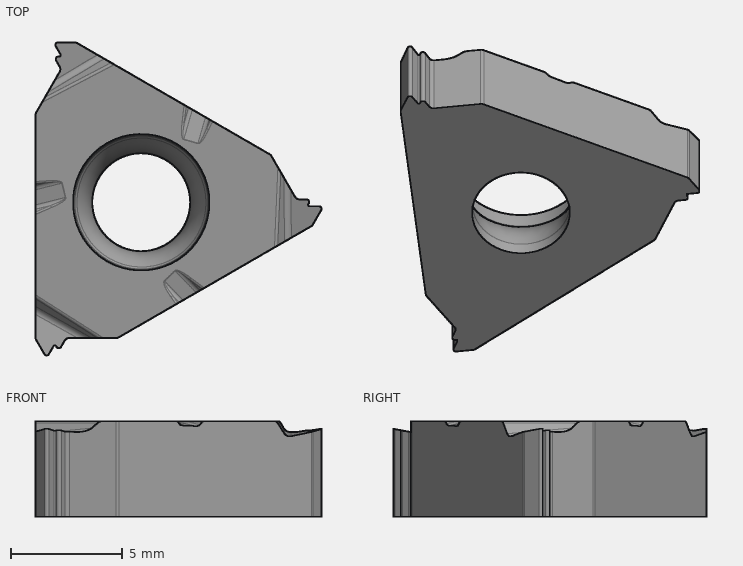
import cadquery as cq
import math

thickness = 4.31
inscribed_radius = 4.77
corner_count = 3
corner_angle = 360 / corner_count

flank_slope = math.tan(math.radians(60))
tip_x = -4.26
tip_y = -7.02
tip_radius = 0.12
valley_height = 0.63
valley_radius = 0.05
side_tooth_height = 0.32
side_tooth_radius = 0.13
shoulder_y = -6.12
shoulder_radius = 0.23
shoulder_end_radius = 0.28
flank_top_radius = 0.21

bore_radius = 4.4 / 2
seat_rim_radius = 3.07
seat_wall_bottom_radius = 3.0
seat_wall_depth = 0.97
flare_top_radius = 2.9
flare_radius = 4.37
flare_bottom_depth = 3.58

groove_corner_x = 6.53
groove_depth = 0.58
groove_wall_angle = 58
groove_floor_angle = 9
groove_pitch = 5
groove_yaw = 0.7
groove_root_radius = 0.31
groove_rim_radius = 0.17

notch_depth = 1.5
notch_run = 9.1
notch_end_x = -3.5
notch_end_y = 0.55
notch_floor_width = 0.66
notch_yaw = 14
notch_wall_angle = 45
notch_root_radius = 0.27
notch_rim_radius = 0.14

cutter_reach = 2.82


def turned(x, y, angle):
    """Point (x, y) turned about the origin by an angle in degrees."""
    cosine = math.cos(math.radians(angle))
    sine = math.sin(math.radians(angle))
    return x * cosine - y * sine, x * sine + y * cosine


def rounded_outline(corners):
    """Closed wire through (x, y, radius) corners, each rounded with a tangent arc."""
    rounds = []
    for i, (x, y, radius) in enumerate(corners):
        corner = cq.Vector(x, y)
        back = (cq.Vector(*corners[i - 1][:2]) - corner).normalized()
        ahead = (cq.Vector(*corners[(i + 1) % len(corners)][:2]) - corner).normalized()
        half_angle = back.getAngle(ahead) / 2
        tangent_length = radius / math.tan(half_angle)
        middle_distance = radius / math.sin(half_angle) - radius
        rounds.append((
            corner + back * tangent_length,
            corner + (back + ahead).normalized() * middle_distance,
            corner + ahead * tangent_length,
        ))
    outline = cq.Workplane("XY").moveTo(*rounds[-1][2].toTuple()[:2])
    for start, middle, end in rounds:
        outline = outline.lineTo(start.x, start.y)
        outline = outline.threePointArc((middle.x, middle.y), (end.x, end.y))
    return outline.close()


def tooth_corners():
    """Sharp corners and radii from the left-hand side, over the tooth, to the next side."""
    left_flank_top = tip_y + (tip_x + inscribed_radius) * flank_slope
    valley_x = tip_x + valley_height / flank_slope
    side_tooth_x = valley_x + (valley_height - side_tooth_height) / flank_slope
    side_tooth_y = tip_y + side_tooth_height
    shoulder_x = side_tooth_x + (shoulder_y - side_tooth_y) / flank_slope
    shoulder_end_x = 2 * inscribed_radius + shoulder_y * flank_slope
    return [
        (-inscribed_radius, left_flank_top, flank_top_radius),
        (tip_x, tip_y, tip_radius),
        (valley_x, tip_y + valley_height, valley_radius),
        (side_tooth_x, side_tooth_y, side_tooth_radius),
        (shoulder_x, shoulder_y, shoulder_radius),
        (shoulder_end_x, shoulder_y, shoulder_end_radius),
    ]


def insert_blank():
    corners = []
    for k in range(corner_count):
        for x, y, radius in tooth_corners():
            corners.append((*turned(x, y, k * corner_angle), radius))
    return rounded_outline(corners).extrude(thickness)


def screw_hole():
    """Steep conical seat wall, concave round, then a convex flare tangent to the bore."""
    flare_center_r = bore_radius + flare_radius
    flare_angle = math.acos((flare_center_r - flare_top_radius) / flare_radius)
    flare_bottom = thickness - flare_bottom_depth

    def on_flare(angle):
        r = flare_center_r - flare_radius * math.cos(angle)
        return r, flare_bottom + flare_radius * math.sin(angle)

    return (
        cq.Workplane("XZ")
        .moveTo(0, thickness)
        .lineTo(seat_rim_radius, thickness)
        .lineTo(seat_wall_bottom_radius, thickness - seat_wall_depth)
        .tangentArcPoint(on_flare(flare_angle), relative=False)
        .threePointArc(on_flare(flare_angle / 2), on_flare(0))
        .lineTo(bore_radius, 0)
        .lineTo(0, 0)
        .close()
        .revolve(360, (0, 0, 0), (0, 1, 0))
    )


def chip_groove():
    """V-shaped cutter along Y, sinking towards -Y, with a steep inner wall and a rising floor."""
    length = 2 * cutter_reach
    along = cq.Vector(
        math.tan(math.radians(groove_yaw)), -1, -math.tan(math.radians(groove_pitch))
    )
    across = cq.Vector(0, 1, 0).cross(cq.Vector(0, 0, 1))
    root = cq.Vector(groove_corner_x, 0, thickness - groove_depth)
    plane = cq.Plane(origin=root - along.normalized() * (length / 2), xDir=across, normal=along)
    wall_x = -cutter_reach / math.tan(math.radians(groove_wall_angle))
    floor_y = cutter_reach * math.tan(math.radians(groove_floor_angle))
    cutter = (
        cq.Workplane(plane)
        .polyline([(0, 0), (cutter_reach, floor_y), (cutter_reach, cutter_reach), (wall_x, cutter_reach)])
        .close()
        .extrude(length)
    )
    root_edge = cq.selectors.NearestToPointSelector(root.toTuple())
    return cutter.edges(root_edge).fillet(groove_root_radius)


def edge_notch():
    """Trapezoidal cutter whose floor sinks from the top face towards the left-hand side."""
    outward = cq.Vector(*turned(-1, 0, notch_yaw), -notch_depth / notch_run)
    across = cq.Vector(0, 0, 1).cross(outward)
    floor_end = cq.Vector(notch_end_x, notch_end_y, thickness)
    plane = cq.Plane(
        origin=floor_end - outward.normalized() * cutter_reach, xDir=across, normal=outward
    )
    half_floor = notch_floor_width / 2 + notch_root_radius * math.tan(math.radians(notch_wall_angle / 2))
    half_top = half_floor + cutter_reach / math.tan(math.radians(notch_wall_angle))
    cutter = (
        cq.Workplane(plane)
        .polyline([(-half_floor, 0), (half_floor, 0), (half_top, cutter_reach), (-half_top, cutter_reach)])
        .close()
        .extrude(2 * cutter_reach)
    )
    for side in (-half_floor, half_floor):
        root_edge = cq.selectors.NearestToPointSelector(plane.toWorldCoords((side, 0, cutter_reach)))
        cutter = cutter.edges(root_edge).fillet(notch_root_radius)
    return cutter


def cut_with_rounded_rim(body, cutter, rim_x, rim_y, rim_radius):
    """Cut at every corner, rounding the rim that passes nearest to (rim_x, rim_y) on the top face."""
    for k in range(corner_count):
        angle = k * corner_angle
        body = body.cut(cutter.rotate((0, 0, 0), (0, 0, 1), angle))
        rim_point = (*turned(rim_x, rim_y, angle), thickness)
        body = body.edges(cq.selectors.NearestToPointSelector(rim_point)).fillet(rim_radius)
    return body


groove_rim_x = groove_corner_x - groove_depth / math.tan(math.radians(groove_wall_angle))

result = insert_blank().cut(screw_hole())
result = cut_with_rounded_rim(result, chip_groove(), groove_rim_x, 0, groove_rim_radius)
result = cut_with_rounded_rim(result, edge_notch(), notch_end_x, notch_end_y, notch_rim_radius)